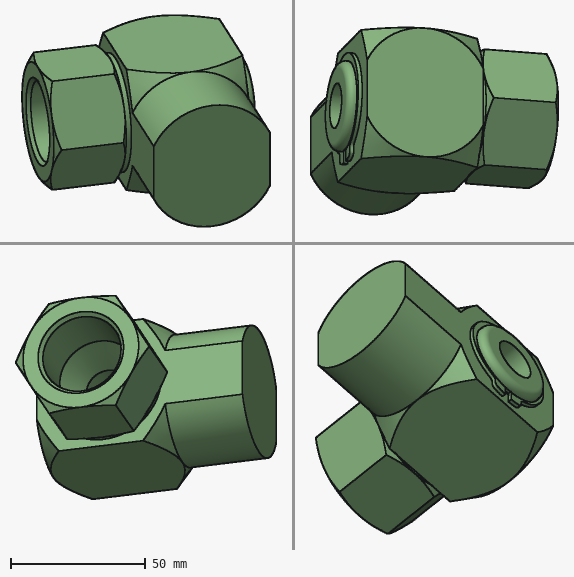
import cadquery as cq
import math

HOUSING_LEFT = -26.0
BLOCK_LENGTH = 50.0
BLOCK_HEIGHT = 50.0
BLOCK_DEPTH = 45.0
OUTLET_END = 54.0
OUTLET_RADIUS = BLOCK_HEIGHT / 2

HEX_SIDES = 6
HEX_ACROSS_FLATS = 45.0
HEX_LENGTH = 28.0
HEX_CHAMFER_ANGLE = 30.0
COLLAR_LENGTH = 2.0
SHANK_DIAMETER = 34.0
SHANK_RADIUS = SHANK_DIAMETER / 2
TAIL_LENGTH = 5.0
TAIL_FILLET = 2.8
GROOVE_RADIUS = 16.2
PORT_RADIUS = 15.2
PORT_CHAMFER = 1.4
PORT_DEPTH = 24.0
PORT_CONE_ANGLE = 60.0
PASSAGE_RADIUS = 8.4

RING_THICKNESS = 1.5
RING_RADIUS = 19.0
RING_OFFSET = 1.1
LUG_RADIUS = 21.7
LUG_HALF_WIDTH = 7.0
LUG_ROUNDING = 2.0
LUG_ROOT_FILLET = 2.0
RING_GAP = 3.2

FRONT_FACE = -BLOCK_DEPTH / 2
BACK_FACE = BLOCK_DEPTH / 2
HEX_BACK = FRONT_FACE - COLLAR_LENGTH
HEX_FRONT = HEX_BACK - HEX_LENGTH
RING_MIDDLE = BACK_FACE + RING_THICKNESS / 2
RING_BACK = BACK_FACE + RING_THICKNESS
TAIL_END = BACK_FACE + TAIL_LENGTH


def cylinder_y(radius, y_start, y_end):
    """Cylinder on the Y axis between two stations."""
    return cq.Workplane("XZ", origin=(0, y_start, 0)).circle(radius).extrude(y_start - y_end)


def revolve_y(points):
    """Solid of revolution about the Y axis from (radius, y) points."""
    return cq.Workplane("XY").polyline(points).close().revolve(360, (0, 0, 0), (0, 1, 0))


def make_chamfered_block():
    """Block with all corners turned off by 45 degree cones about the X axis."""
    block_center = HOUSING_LEFT + BLOCK_LENGTH / 2
    block = cq.Workplane("XY").box(BLOCK_LENGTH, BLOCK_DEPTH, BLOCK_HEIGHT)
    block = block.translate((block_center, 0, 0))
    block_right = HOUSING_LEFT + BLOCK_LENGTH
    cone_length = BLOCK_LENGTH / 2
    wide_radius = OUTLET_RADIUS + cone_length
    envelope = (
        cq.Workplane("XY")
        .polyline([
            (HOUSING_LEFT, 0),
            (HOUSING_LEFT, OUTLET_RADIUS),
            (block_center, wide_radius),
            (block_right, OUTLET_RADIUS),
            (block_right, 0),
        ])
        .close()
        .revolve(360, (0, 0, 0), (1, 0, 0))
    )
    return block.intersect(envelope)


def make_outlet():
    """Round outlet with its front and back flats flush with the block."""
    length = OUTLET_END - HOUSING_LEFT - BLOCK_LENGTH
    start = OUTLET_END - length
    outlet = cq.Workplane("YZ", origin=(start, 0, 0)).circle(OUTLET_RADIUS).extrude(length)
    flats = cq.Workplane("XY").box(length, BLOCK_DEPTH, BLOCK_HEIGHT)
    return outlet.intersect(flats.translate((start + length / 2, 0, 0)))


def make_housing():
    """Block and outlet in one piece, bored through for the shank."""
    body = make_chamfered_block().union(make_outlet())
    return body.cut(cylinder_y(SHANK_RADIUS, FRONT_FACE, BACK_FACE))


def make_hex_head():
    """Hexagon with two corners in the XY plane, turned conical at both ends."""
    flat_radius = HEX_ACROSS_FLATS / 2
    corner_radius = flat_radius / math.cos(math.pi / HEX_SIDES)
    drop = (corner_radius - flat_radius) * math.tan(math.radians(HEX_CHAMFER_ANGLE))
    prism = (
        cq.Workplane("XZ", origin=(0, HEX_BACK, 0))
        .polygon(HEX_SIDES, 2 * corner_radius)
        .extrude(HEX_LENGTH)
    )
    envelope = revolve_y([
        (0, HEX_FRONT),
        (flat_radius, HEX_FRONT),
        (corner_radius, HEX_FRONT + drop),
        (corner_radius, HEX_BACK - drop),
        (flat_radius, HEX_BACK),
        (0, HEX_BACK),
    ])
    return prism.intersect(envelope)


def make_port():
    """Chamfered blind port with a conical bottom, opening into the through passage."""
    port_bottom = HEX_FRONT + PORT_DEPTH
    cone_length = (PORT_RADIUS - PASSAGE_RADIUS) / math.tan(math.radians(PORT_CONE_ANGLE / 2))
    return revolve_y([
        (0, HEX_FRONT),
        (PORT_RADIUS + PORT_CHAMFER, HEX_FRONT),
        (PORT_RADIUS, HEX_FRONT + PORT_CHAMFER),
        (PORT_RADIUS, port_bottom),
        (PASSAGE_RADIUS, port_bottom + cone_length),
        (PASSAGE_RADIUS, TAIL_END),
        (0, TAIL_END),
    ])


def make_stem():
    """Hex head, collar and shank in one piece, with the ring groove and the bore."""
    shank = cylinder_y(SHANK_RADIUS, FRONT_FACE, TAIL_END).faces(">Y").edges().fillet(TAIL_FILLET)
    groove = cylinder_y(SHANK_RADIUS, BACK_FACE, RING_BACK).cut(
        cylinder_y(GROOVE_RADIUS, BACK_FACE, RING_BACK)
    )
    collar = cylinder_y(HEX_ACROSS_FLATS / 2, HEX_BACK, FRONT_FACE)
    return make_hex_head().union(collar).union(shank).cut(groove).cut(make_port())


def ring_slab(width):
    """Slab as thick as the ring, hanging from the swivel axis down past the lugs."""
    slab = cq.Workplane("XY").box(width, RING_THICKNESS, LUG_RADIUS)
    return slab.translate((0, RING_MIDDLE, -LUG_RADIUS / 2))


def make_retaining_ring():
    """Open ring, thicker at the top, with rounded lugs on both sides of the gap."""
    disc = cylinder_y(RING_RADIUS, BACK_FACE, RING_BACK).translate((0, 0, RING_OFFSET))
    lugs = cylinder_y(LUG_RADIUS, BACK_FACE, RING_BACK).intersect(ring_slab(2 * LUG_HALF_WIDTH))
    lug_corner_z = -math.sqrt(LUG_RADIUS**2 - LUG_HALF_WIDTH**2)
    lug_root_z = RING_OFFSET - math.sqrt(RING_RADIUS**2 - LUG_HALF_WIDTH**2)
    ring = disc.union(lugs)
    for side in (-1, 1):
        edge_x = side * LUG_HALF_WIDTH
        for edge_z, radius in ((lug_corner_z, LUG_ROUNDING), (lug_root_z, LUG_ROOT_FILLET)):
            middle = (edge_x, RING_MIDDLE, edge_z)
            edge = ring.edges("|Y").edges(cq.selectors.NearestToPointSelector(middle))
            ring = edge.fillet(radius)
    return ring.cut(cylinder_y(GROOVE_RADIUS, BACK_FACE, RING_BACK)).cut(ring_slab(RING_GAP))


housing = make_housing()
stem = make_stem()
retaining_ring = make_retaining_ring()

result = cq.Compound.makeCompound([
    housing.solids().val(),
    stem.solids().val(),
    retaining_ring.solids().val(),
])